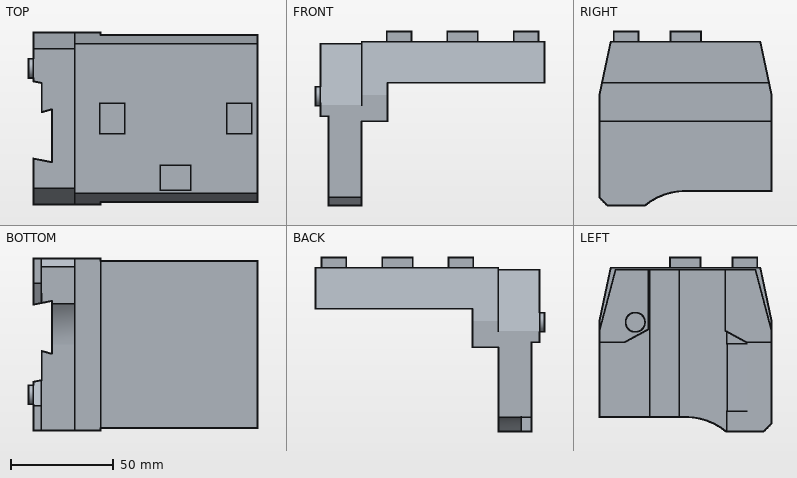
import cadquery as cq

LENGTH = 111.8
HALF_WIDTH = 42.0
HEIGHT = 85.0

HEAD_FACE_X = 2.5
LEG_FACE_X = 6.3
SHALLOW_FLOOR_X = 6.4
POCKET_FLOOR_X = 11.4
LEG_BACK_X = 22.6
BLOCK_END_X = 35.2

DECK_Z = 80.0
DECK_HALF_WIDTH = 36.5
DECK_SLOPE_Z = 54.1
PLATE_BOTTOM_Z = 59.9
BLOCK_BOTTOM_Z = 41.1

HEAD_TOP_Z = 79.1
HEAD_HALF_WIDTH = 34.1
HEAD_SLOPE_Z = 49.1
HEAD_BOTTOM_Z = 43.6
HEAD_FLAT_Y = 29.8
HEAD_RISE_Z = 54.8
HEAD_RISE_Y = 9.3

LEG_STEP_Z = 7.2
FOOT_EDGE_Y = -19.9
FOOT_CHAMFER = 4.0
FOOT_ARC_RADIUS = 31.3

SHALLOW_MOUTH_Y = 18.1
SHALLOW_FLOOR_Y = 17.3
STEP_MOUTH_Y = 3.0
STEP_FLOOR_Y = 4.5
DEEP_FLOOR_Y = -21.2
DEEP_MOUTH_Y = -19.5

RELIEF_BOTTOM_Z = 10.1
RELIEF_TOP_Z = 42.9
RELIEF_DEPTH = 0.2

PIN_DIAMETER = 9.5
PIN_Y = 24.5
PIN_Z = 53.4

PAD_LONG = 15.0
PAD_SHORT = 12.2
PADS = [
    (40.8, 0.1, PAD_SHORT, PAD_LONG),
    (102.8, 0.1, PAD_SHORT, PAD_LONG),
    (71.7, -28.9, PAD_LONG, PAD_SHORT),
]


def extrude_along_x(profile, start, end):
    """Extrude a YZ outline between two X stations."""
    return profile.extrude(end - start).translate((start, 0, 0))


def tapered_outline(bottom_z, slope_z, top_z, top_half_width):
    """Symmetric outline with vertical lower sides and inward-sloping upper sides."""
    return (
        cq.Workplane("YZ")
        .moveTo(-HALF_WIDTH, bottom_z)
        .lineTo(HALF_WIDTH, bottom_z)
        .lineTo(HALF_WIDTH, slope_z)
        .lineTo(top_half_width, top_z)
        .lineTo(-top_half_width, top_z)
        .lineTo(-HALF_WIDTH, slope_z)
        .close()
    )


def make_deck():
    outline = tapered_outline(BLOCK_BOTTOM_Z, DECK_SLOPE_Z, DECK_Z, DECK_HALF_WIDTH)
    deck = extrude_along_x(outline, LEG_BACK_X, LENGTH)
    clearance = cq.Workplane("XY").box(
        LENGTH - BLOCK_END_X,
        2 * HALF_WIDTH,
        PLATE_BOTTOM_Z - BLOCK_BOTTOM_Z,
        centered=(False, True, False),
    )
    return deck.cut(clearance.translate((BLOCK_END_X, 0, BLOCK_BOTTOM_Z)))


def make_head():
    outline = tapered_outline(HEAD_BOTTOM_Z, HEAD_SLOPE_Z, HEAD_TOP_Z, HEAD_HALF_WIDTH)
    head = extrude_along_x(outline, HEAD_FACE_X, LEG_BACK_X)
    arch = (
        cq.Workplane("YZ")
        .moveTo(-HEAD_FLAT_Y, HEAD_BOTTOM_Z)
        .lineTo(-HEAD_RISE_Y, HEAD_RISE_Z)
        .lineTo(HEAD_RISE_Y, HEAD_RISE_Z)
        .lineTo(HEAD_FLAT_Y, HEAD_BOTTOM_Z)
        .close()
    )
    return head.cut(extrude_along_x(arch, HEAD_FACE_X, LEG_FACE_X))


def make_leg():
    arc_start_y = FOOT_EDGE_Y + (FOOT_ARC_RADIUS**2 - (FOOT_ARC_RADIUS - LEG_STEP_Z) ** 2) ** 0.5
    outline = (
        cq.Workplane("YZ")
        .moveTo(HALF_WIDTH, HEAD_SLOPE_Z)
        .lineTo(HALF_WIDTH, LEG_STEP_Z)
        .lineTo(arc_start_y, LEG_STEP_Z)
        .radiusArc((FOOT_EDGE_Y, 0), -FOOT_ARC_RADIUS)
        .lineTo(-HALF_WIDTH + FOOT_CHAMFER, 0)
        .lineTo(-HALF_WIDTH, FOOT_CHAMFER)
        .lineTo(-HALF_WIDTH, HEAD_SLOPE_Z)
        .lineTo(-HEAD_RISE_Y, HEAD_RISE_Z)
        .lineTo(HEAD_RISE_Y, HEAD_RISE_Z)
        .close()
    )
    return extrude_along_x(outline, LEG_FACE_X, LEG_BACK_X)


def make_channel():
    return (
        cq.Workplane("XY")
        .polyline([
            (HEAD_FACE_X, SHALLOW_MOUTH_Y),
            (SHALLOW_FLOOR_X, SHALLOW_FLOOR_Y),
            (SHALLOW_FLOOR_X, STEP_MOUTH_Y),
            (POCKET_FLOOR_X, STEP_FLOOR_Y),
            (POCKET_FLOOR_X, DEEP_FLOOR_Y),
            (HEAD_FACE_X, DEEP_MOUTH_Y),
        ])
        .close()
        .extrude(HEIGHT)
    )


def make_relief():
    """Wedge deepest at the channel, fading out at the flat of the head's underside."""
    return (
        cq.Workplane("XY")
        .workplane(offset=RELIEF_BOTTOM_Z)
        .polyline([
            (LEG_FACE_X, -HEAD_FLAT_Y),
            (LEG_FACE_X, DEEP_MOUTH_Y),
            (LEG_FACE_X + RELIEF_DEPTH, DEEP_MOUTH_Y),
        ])
        .close()
        .extrude(RELIEF_TOP_Z - RELIEF_BOTTOM_Z)
    )


def make_pin():
    outline = cq.Workplane("YZ").center(PIN_Y, PIN_Z).circle(PIN_DIAMETER / 2)
    return extrude_along_x(outline, 0, LEG_FACE_X)


def make_pad(x, y, size_x, size_y):
    pad = cq.Workplane("XY").box(size_x, size_y, HEIGHT - DECK_Z, centered=(True, True, False))
    return pad.translate((x, y, DECK_Z))


result = make_deck().union(make_head()).union(make_leg())
result = result.cut(make_channel()).cut(make_relief()).union(make_pin())
for pad_placement in PADS:
    result = result.union(make_pad(*pad_placement))